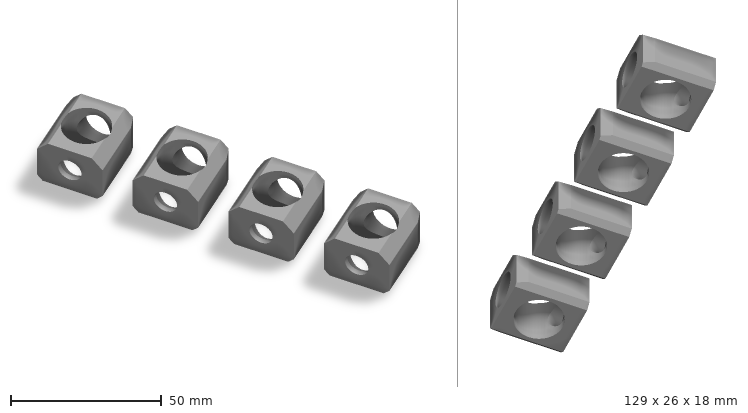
import cadquery as cq

row_length = 129.0
block_count = 4
block_width = 24.0
block_depth = 26.0
block_height = 18.0
block_pitch = (row_length - block_width) / (block_count - 1)

top_chamfer = 4.0
bottom_chamfer = 2.0
taper_length = 4.0
taper_inset = 1.0

vertical_bore_diameter = 17.0
narrow_bore_diameter = 8.5
wide_bore_diameter = 12.5
front_lip = 1.9


def block_blank():
    """Rectangular plan with both sides tapering in towards the back."""
    half_width = block_width / 2
    half_depth = block_depth / 2
    back_half_width = half_width - taper_inset
    taper_start = half_depth - taper_length
    return (
        cq.Workplane("XY")
        .workplane(offset=-block_height / 2)
        .moveTo(-half_width, -half_depth)
        .lineTo(half_width, -half_depth)
        .lineTo(half_width, taper_start)
        .lineTo(back_half_width, half_depth)
        .lineTo(-back_half_width, half_depth)
        .lineTo(-half_width, taper_start)
        .close()
        .extrude(block_height)
    )


def chamfered_profile():
    """Full-depth prism whose long edges carry the top and bottom chamfers."""
    prism = cq.Workplane("XY").box(block_width, block_depth, block_height)
    prism = prism.faces(">Z").edges("|Y").chamfer(top_chamfer)
    return prism.faces("<Z").edges("|Y").chamfer(bottom_chamfer)


def vertical_bore():
    return cq.Workplane("XY").circle(vertical_bore_diameter / 2).extrude(block_height, both=True)


def stepped_cross_bore():
    """Narrow bore through the front lip, opening into a wide bore that runs out of the back."""
    narrow = cq.Workplane("XZ").circle(narrow_bore_diameter / 2).extrude(block_depth, both=True)
    wide_length = block_depth - front_lip
    wide = (
        cq.Workplane("XZ", origin=(0, block_depth / 2, 0))
        .circle(wide_bore_diameter / 2)
        .extrude(wide_length)
    )
    return narrow.union(wide)


def clamp_block(center_x):
    block = block_blank().intersect(chamfered_profile())
    block = block.cut(vertical_bore()).cut(stepped_cross_bore())
    return block.translate((center_x, 0, 0)).solids()


first_center_x = (block_width - row_length) / 2
clamp_blocks = []
for index in range(block_count):
    clamp_blocks.append(clamp_block(first_center_x + index * block_pitch))

result = cq.Compound.makeCompound([block.val() for block in clamp_blocks])